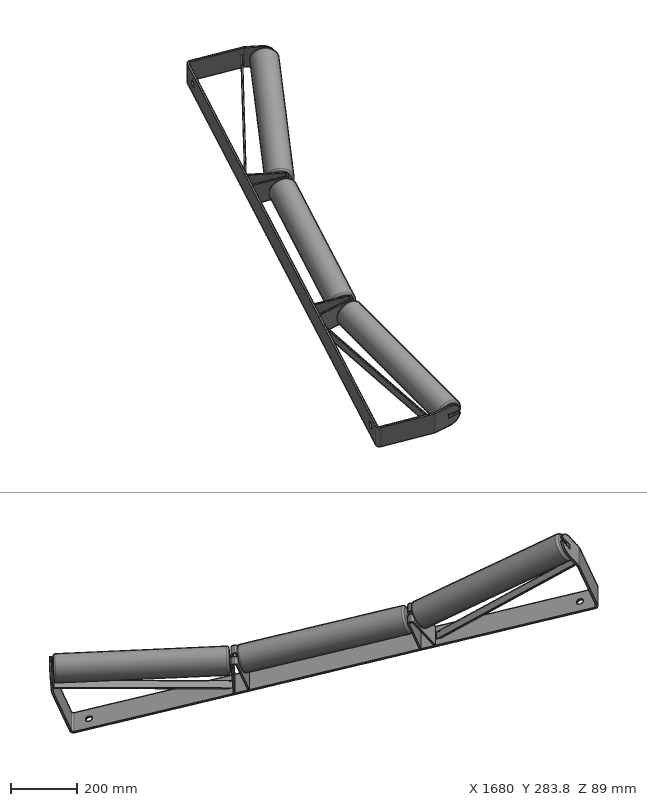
import cadquery as cq
import math

frame_length = 1680.0
frame_thickness = 6.0
plate_width = 80.0
frame_bend_radius = 12.1
arm_tip_top = 277.0

hole_diameter = 22.0
hole_spacing = 1562.0

roller_diameter = 89.0
drum_length = 531.0
drum_edge_radius = 7.0
shaft_diameter = 20.0
shaft_flat_width = 14.1
roller_gap = 5.0
trough_angle = 15.0
middle_axis_y = 99.0
side_inner_x = 300.0
side_inner_y = 105.0

bracket_thickness = 5.0
bracket_top = 125.0
bracket_bend_radius = 8.0
bracket_slot_depth = 12.0

brace_width = 30.0
brace_thickness = 5.0
brace_arm_y = 180.0
brace_base_x = 325.0

half_length = frame_length / 2
tilt = math.radians(trough_angle)
axis_dir = (math.cos(tilt), math.sin(tilt))
up_dir = (-math.sin(tilt), math.cos(tilt))
side_centre = (
    side_inner_x + drum_length / 2 * axis_dir[0],
    side_inner_y + drum_length / 2 * axis_dir[1],
)
inner_face_reach = drum_length / 2 + roller_gap
outer_face_reach = inner_face_reach + frame_thickness


def side_point(along, up=0.0):
    """Point given from the centre of the +X roller, along its axis and square to it."""
    return (
        side_centre[0] + along * axis_dir[0] + up * up_dir[0],
        side_centre[1] + along * axis_dir[1] + up * up_dir[1],
    )


def side_plane_x(along, y):
    """X at height y on the plane square to the +X roller's axis."""
    base_x, base_y = side_point(along)
    return base_x - (y - base_y) * math.tan(tilt)


def mirror_x(point):
    return (-point[0], point[1])


def inset_point(before, corner, after, distance):
    """Corner of a path moved to its left by distance, keeping both legs parallel."""
    angle_in = math.atan2(corner[1] - before[1], corner[0] - before[0])
    angle_out = math.atan2(after[1] - corner[1], after[0] - corner[0])
    middle = (angle_in + angle_out) / 2
    if abs(angle_out - angle_in) > math.pi:
        middle += math.pi
    reach = distance / math.cos(middle - angle_in)
    return (corner[0] - reach * math.sin(middle), corner[1] + reach * math.cos(middle))


def straight_on(start, end):
    """Point as far past end as start is before it."""
    return (2 * end[0] - start[0], 2 * end[1] - start[1])


def bent_strip(path, thickness, bend_radius):
    """Bent plate whose outer face follows path, with its thickness to the left of it."""
    run = [straight_on(path[1], path[0]), *path, straight_on(path[-2], path[-1])]
    inside = [
        inset_point(before, corner, after, thickness)
        for before, corner, after in zip(run, path, run[2:])
    ]
    strip = cq.Workplane("XY").polyline(path + inside[::-1]).close().extrude(plate_width / 2, both=True)
    for corners, radius in ((path, bend_radius), (inside, bend_radius - thickness)):
        for x, y in corners[1:-1]:
            strip = strip.edges("|Z").edges(cq.NearestToPointSelector((x, y, 0))).fillet(radius)
    return strip


def tilted_box(along_from, along_to, up_from, up_to, width):
    """Box in line with the +X roller, centred on Z."""
    corners = [
        side_point(along_from, up_from),
        side_point(along_to, up_from),
        side_point(along_to, up_to),
        side_point(along_from, up_to),
    ]
    return cq.Workplane("XY").polyline(corners).close().extrude(width / 2, both=True)


def with_mirror(cutter):
    """The cutter together with its copy on the -X side."""
    return cutter.union(cutter.mirror("YZ"))


def arm_tip_trim(tip_up):
    """Corners to remove so that the arm ends in a half circle as wide as the plate."""
    tip_radius = plate_width / 2
    centre_up = tip_up - tip_radius
    start = outer_face_reach + frame_thickness
    end = inner_face_reach - frame_thickness
    corner_block = tilted_box(end, start, centre_up, tip_up + frame_thickness, 2 * plate_width)
    x, y = side_point(end, centre_up)
    round_end = cq.Workplane(
        cq.Plane(origin=(x, y, 0), xDir=(0, 0, 1), normal=(*axis_dir, 0))
    ).circle(tip_radius).extrude(start - end)
    return corner_block.cut(round_end)


def make_frame():
    """Base bar and both upright arms, bent from one strip."""
    arm_bend_y = side_point(outer_face_reach)[1]
    arm_bend_y -= (half_length - side_point(outer_face_reach)[0]) / math.tan(tilt)
    tip_up = (arm_tip_top - side_point(outer_face_reach)[1]) / math.cos(tilt)
    right_path = [
        (half_length, 0),
        (half_length, arm_bend_y),
        side_point(outer_face_reach, tip_up),
    ]
    left_path = [mirror_x(point) for point in right_path[::-1]]
    frame = bent_strip(left_path + right_path, frame_thickness, frame_bend_radius)

    frame = frame.cut(with_mirror(arm_tip_trim(tip_up)))
    slot = tilted_box(
        inner_face_reach - frame_thickness,
        outer_face_reach + frame_thickness,
        -shaft_diameter / 2,
        roller_diameter,
        shaft_flat_width,
    )
    frame = frame.cut(with_mirror(slot))

    holes = (
        cq.Workplane("XZ")
        .pushPoints([(-hole_spacing / 2, 0), (hole_spacing / 2, 0)])
        .circle(hole_diameter / 2)
        .extrude(-frame_thickness)
    )
    return frame.cut(holes)


def make_bracket():
    """Bracket on the +X side: one leg square to the middle roller, one to the side roller."""
    base_top = frame_thickness
    path = [
        (side_plane_x(-inner_face_reach, base_top), base_top),
        (side_plane_x(-inner_face_reach, bracket_top), bracket_top),
        (inner_face_reach, bracket_top),
        (inner_face_reach, base_top),
    ]
    bracket = bent_strip(path, bracket_thickness, bracket_bend_radius)

    below_base = cq.Workplane("XY").box(
        frame_length, base_top, 2 * plate_width, centered=(True, False, True)
    )
    bracket = bracket.cut(below_base)

    middle_slot = cq.Workplane("XY").box(
        bracket_slot_depth, roller_diameter, shaft_flat_width, centered=(False, False, True)
    ).translate((inner_face_reach, middle_axis_y - shaft_diameter / 2, 0))
    side_slot = tilted_box(
        -inner_face_reach - bracket_slot_depth,
        -inner_face_reach,
        -shaft_diameter / 2,
        roller_diameter,
        shaft_flat_width,
    )
    return bracket.cut(middle_slot).cut(side_slot)


def make_brace():
    """Flat bar on the +X side from the arm to the base bar, cut to fit both."""
    arm_x = half_length - frame_thickness
    base_y = frame_thickness
    slope = math.atan2(brace_arm_y - base_y, arm_x - brace_base_x)
    outline = [
        (brace_base_x, base_y),
        (arm_x, brace_arm_y),
        (arm_x, brace_arm_y - brace_thickness / math.cos(slope)),
        (brace_base_x + brace_thickness / math.sin(slope), base_y),
    ]
    return cq.Workplane("XY").polyline(outline).close().extrude(brace_width / 2, both=True)


def make_roller():
    """Drum with its shaft along X, centred on the origin; the shaft ends have two flats."""
    drum = (
        cq.Workplane("XZ")
        .rect(drum_length, roller_diameter / 2, centered=(True, False))
        .revolve(360, (0, 0, 0), (1, 0, 0))
        .faces("<X or >X")
        .edges()
        .fillet(drum_edge_radius)
    )
    shaft = cq.Workplane("YZ").circle(shaft_diameter / 2).extrude(outer_face_reach, both=True)
    flats = cq.Workplane("XY").box(2 * outer_face_reach, shaft_diameter, shaft_flat_width)
    round_part = cq.Workplane("XY").box(2 * inner_face_reach, shaft_diameter, shaft_diameter)
    return drum.union(shaft.intersect(flats.union(round_part)))


frame = make_frame()

bracket = make_bracket()
brackets = [bracket, bracket.mirror("YZ")]

brace = make_brace()
braces = [brace, brace.mirror("YZ")]

roller_places = [
    ((0, middle_axis_y), 0),
    (side_centre, trough_angle),
    (mirror_x(side_centre), -trough_angle),
]
rollers = []
for (x, y), angle in roller_places:
    roller = make_roller().rotate((0, 0, 0), (0, 0, 1), angle).translate((x, y, 0))
    rollers.append(roller)

bodies = [frame, *brackets, *braces, *rollers]
result = cq.Compound.makeCompound([body.val() for body in bodies])